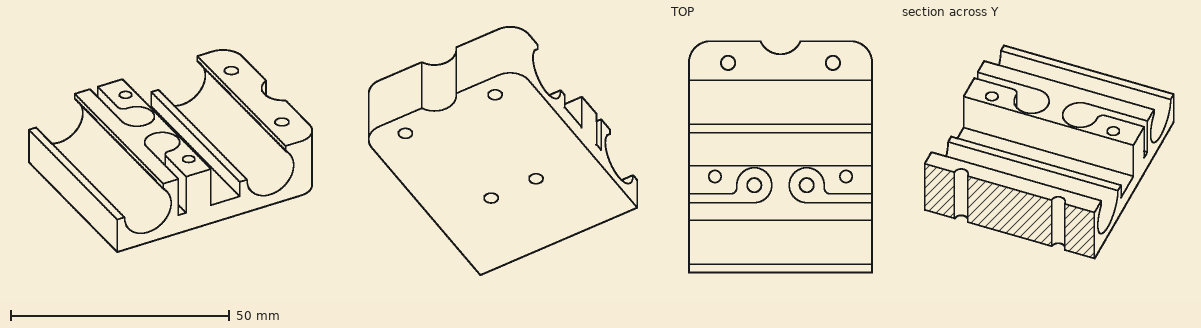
import cadquery as cq
import math

WIDTH = 42.0
LENGTH = 53.0
HEIGHT = 15.0
REAR_CORNER_RADIUS = 5.0

BORE_RADIUS = 6.1
BORE_HEIGHT = 9.0
BORE_SPACING = 32.0
FRONT_BORE_Y = 8.0
REAR_BORE_Y = FRONT_BORE_Y + BORE_SPACING
JAW_OFFSET = 4.0

FLOOR_HEIGHT = 5.0
CHANNEL_WIDTH = 7.5
CHANNEL_REAR_Y = REAR_BORE_Y - FRONT_BORE_Y
CHANNEL_FRONT_Y = CHANNEL_REAR_Y - CHANNEL_WIDTH

POCKET_RADIUS = 4.0
POCKET_X = 6.0
POCKET_Y = 20.0
SLOT_WIDTH = 2.0
SLOT_CORNER_RADIUS = 1.5

SCREW_DIAMETER = 3.2
REAR_SCREW_X = 12.0
REAR_SCREW_Y = 48.0
PILOT_DIAMETER = 2.8
PILOT_X = 15.0
PILOT_Y = 22.0
PILOT_BOTTOM = FLOOR_HEIGHT

NOTCH_RADIUS = 5.0
NOTCH_DEPTH = 3.0


def make_profile_body():
    """Side profile in the YZ plane, extruded across the width."""
    jaw_bottom = BORE_HEIGHT + math.sqrt(BORE_RADIUS**2 - JAW_OFFSET**2)
    bore_bottom = BORE_HEIGHT - BORE_RADIUS

    def add_cradle(outline, bore_y):
        """Trace one cradle from the top of its front lip to the top of its jaw."""
        return (
            outline.lineTo(bore_y - BORE_RADIUS, BORE_HEIGHT)
            .threePointArc((bore_y, bore_bottom), (bore_y + JAW_OFFSET, jaw_bottom))
            .lineTo(bore_y + JAW_OFFSET, HEIGHT)
        )

    outline = cq.Workplane("YZ", origin=(-WIDTH / 2, 0, 0)).lineTo(0, BORE_HEIGHT)
    outline = add_cradle(outline, FRONT_BORE_Y)
    outline = (
        outline.lineTo(CHANNEL_FRONT_Y, HEIGHT)
        .lineTo(CHANNEL_FRONT_Y, FLOOR_HEIGHT)
        .lineTo(CHANNEL_REAR_Y, FLOOR_HEIGHT)
        .lineTo(CHANNEL_REAR_Y, BORE_HEIGHT)
    )
    outline = add_cradle(outline, REAR_BORE_Y)
    return outline.lineTo(LENGTH, HEIGHT).lineTo(LENGTH, 0).close().extrude(WIDTH)


def make_belt_pocket(side):
    """Pocket and slot on one side (-1 or +1), with a rounded corner where they meet."""
    slot_front_y = POCKET_Y - POCKET_RADIUS
    slot_rear_y = slot_front_y + SLOT_WIDTH

    corner_y = slot_rear_y + SLOT_CORNER_RADIUS
    centre_distance = POCKET_RADIUS + SLOT_CORNER_RADIUS
    corner_dx = math.sqrt(centre_distance**2 - (corner_y - POCKET_Y) ** 2)
    touch_ratio = POCKET_RADIUS / centre_distance
    touch_x = side * (POCKET_X + corner_dx * touch_ratio)
    touch_y = POCKET_Y + (corner_y - POCKET_Y) * touch_ratio

    pocket_x = side * POCKET_X
    corner_x = side * (POCKET_X + corner_dx)
    outer_x = side * WIDTH / 2
    return (
        cq.Workplane("XY", origin=(0, 0, FLOOR_HEIGHT))
        .moveTo(pocket_x, slot_front_y)
        .lineTo(outer_x, slot_front_y)
        .lineTo(outer_x, slot_rear_y)
        .lineTo(corner_x, slot_rear_y)
        .radiusArc((touch_x, touch_y), side * SLOT_CORNER_RADIUS)
        .threePointArc((pocket_x - side * POCKET_RADIUS, POCKET_Y), (pocket_x, slot_front_y))
        .close()
        .extrude(HEIGHT - FLOOR_HEIGHT)
    )


def make_hole_pair(x, y, diameter, bottom):
    """Two vertical cylinders at +/-x, from the given bottom to the top face."""
    return (
        cq.Workplane("XY", origin=(0, 0, bottom))
        .pushPoints([(-x, y), (x, y)])
        .circle(diameter / 2)
        .extrude(HEIGHT - bottom)
    )


def make_notch():
    """Vertical cylinder that cuts the rear edge to the notch depth."""
    centre_y = LENGTH - NOTCH_DEPTH + NOTCH_RADIUS
    return cq.Workplane("XY").center(0, centre_y).circle(NOTCH_RADIUS).extrude(HEIGHT)


result = make_profile_body()
result = result.edges("|Z and >Y").fillet(REAR_CORNER_RADIUS)
result = result.cut(make_notch())
for side in (-1, 1):
    result = result.cut(make_belt_pocket(side))
result = result.cut(make_hole_pair(POCKET_X, POCKET_Y, SCREW_DIAMETER, 0))
result = result.cut(make_hole_pair(REAR_SCREW_X, REAR_SCREW_Y, SCREW_DIAMETER, 0))
result = result.cut(make_hole_pair(PILOT_X, PILOT_Y, PILOT_DIAMETER, PILOT_BOTTOM))